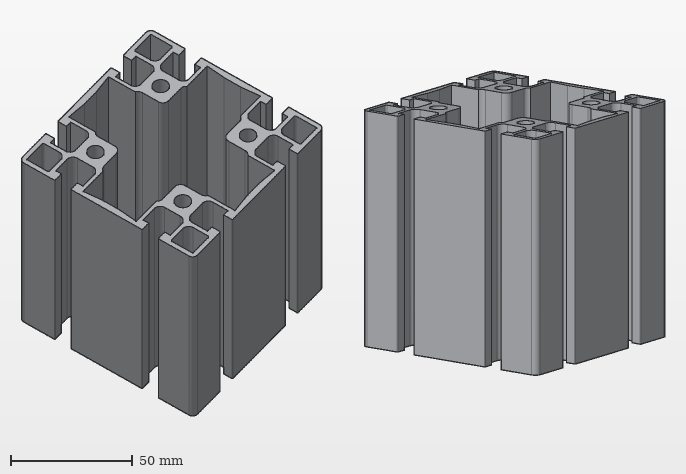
import cadquery as cq
import math

WIDTH = 90.0
LENGTH = 100.0
HALF = WIDTH / 2
OUTER_RADIUS = 2.5
WALL = 2.2
POCKET_WALL = 2.0
WEB = 1.8

SLOT_OFFSET = WIDTH / 4
SLOT_OPENING = 8.2
SLOT_WIDTH = 14.0
LIP_RADIUS = 0.3
LIP = 4.5
SLOT_DEPTH = 15.3
SLOT_RADIUS = 3.0

POCKET_INNER_RADIUS = 3.0
POCKET_SIDE_RADIUS = 0.6

HOLE_DIAMETER = 7.2

CORE_FACE = 15.1
CORE_RADIUS = 3.0
ARM_HALF_WIDTH = SLOT_OFFSET - SLOT_WIDTH / 2 - WEB
ARM_END = HALF - WALL
NECK = 29.0
NECK_RADIUS = 3.0
SKIN_THICKENING = 0.9
SKIN_FLAT = 8.5


def on_four_sides(solid):
    """Return four copies of a solid turned about the Z axis."""
    copies = cq.Workplane("XY")
    for angle in (0, 90, 180, 270):
        copies = copies.add(solid.rotate((0, 0, 0), (0, 0, 1), angle))
    return copies.combine()


def slot(x):
    """T-slot opening on the +Y side, with rounded bottom corners and rounded lip edges."""
    chamber_height = SLOT_DEPTH - LIP
    chamber_y = HALF - LIP - chamber_height / 2
    chamber = (
        cq.Workplane("XY")
        .center(x, chamber_y)
        .rect(SLOT_WIDTH, chamber_height)
        .extrude(LENGTH)
        .edges("|Z and <Y")
        .fillet(SLOT_RADIUS)
    )
    half_opening = SLOT_OPENING / 2
    flare = half_opening + LIP_RADIUS
    opening = (
        cq.Workplane("XY")
        .center(x, HALF)
        .moveTo(-flare, 0)
        .radiusArc((-half_opening, -LIP_RADIUS), LIP_RADIUS)
        .lineTo(-half_opening, -LIP)
        .lineTo(half_opening, -LIP)
        .lineTo(half_opening, -LIP_RADIUS)
        .radiusArc((flare, 0), LIP_RADIUS)
        .close()
        .extrude(LENGTH)
    )
    return chamber.union(opening)


def corner_pocket():
    """Square pocket in the +X +Y corner, rounded everywhere except at its outermost edge."""
    inner = SLOT_OFFSET + SLOT_WIDTH / 2 + POCKET_WALL
    outer = HALF - WALL
    size = outer - inner
    return (
        cq.Workplane("XY")
        .rect(size, size)
        .extrude(LENGTH)
        .edges("|Z and <X and <Y")
        .fillet(POCKET_INNER_RADIUS)
        .edges("|Z and ((<X and >Y) or (>X and <Y))")
        .fillet(POCKET_SIDE_RADIUS)
        .translate(((inner + outer) / 2, (inner + outer) / 2, 0))
    )


def cavity_arm():
    """One arm of the cavity, reaching from the axis towards +Y."""
    neck_angle = math.acos(1 - (CORE_FACE - ARM_HALF_WIDTH) / NECK_RADIUS)
    neck_start = NECK - NECK_RADIUS * math.sin(neck_angle)
    flat_y = ARM_END - SKIN_THICKENING
    return (
        cq.Workplane("XY")
        .moveTo(-CORE_FACE, -CORE_FACE)
        .lineTo(CORE_FACE, -CORE_FACE)
        .lineTo(CORE_FACE, neck_start)
        .radiusArc((ARM_HALF_WIDTH, NECK), -NECK_RADIUS)
        .lineTo(ARM_HALF_WIDTH, ARM_END)
        .lineTo(SKIN_FLAT / 2, flat_y)
        .lineTo(-SKIN_FLAT / 2, flat_y)
        .lineTo(-ARM_HALF_WIDTH, ARM_END)
        .lineTo(-ARM_HALF_WIDTH, NECK)
        .radiusArc((-CORE_FACE, neck_start), -NECK_RADIUS)
        .close()
        .extrude(LENGTH)
    )


def central_cavity():
    """Four arms joined into a cross, with the bolt core corners rounded."""
    arms = on_four_sides(cavity_arm()).clean()
    reach = CORE_FACE + CORE_RADIUS
    core_corners = cq.selectors.BoxSelector((-reach, -reach, 0), (reach, reach, LENGTH))
    return arms.edges("|Z").edges(core_corners).fillet(CORE_RADIUS)


body = cq.Workplane("XY").rect(WIDTH, WIDTH).extrude(LENGTH).edges("|Z").fillet(OUTER_RADIUS)
holes = (
    cq.Workplane("XY")
    .rect(2 * SLOT_OFFSET, 2 * SLOT_OFFSET, forConstruction=True)
    .vertices()
    .circle(HOLE_DIAMETER / 2)
    .extrude(LENGTH)
)

result = body.cut(holes).cut(central_cavity()).cut(on_four_sides(corner_pocket()))
for slot_x in (-SLOT_OFFSET, SLOT_OFFSET):
    result = result.cut(on_four_sides(slot(slot_x)))